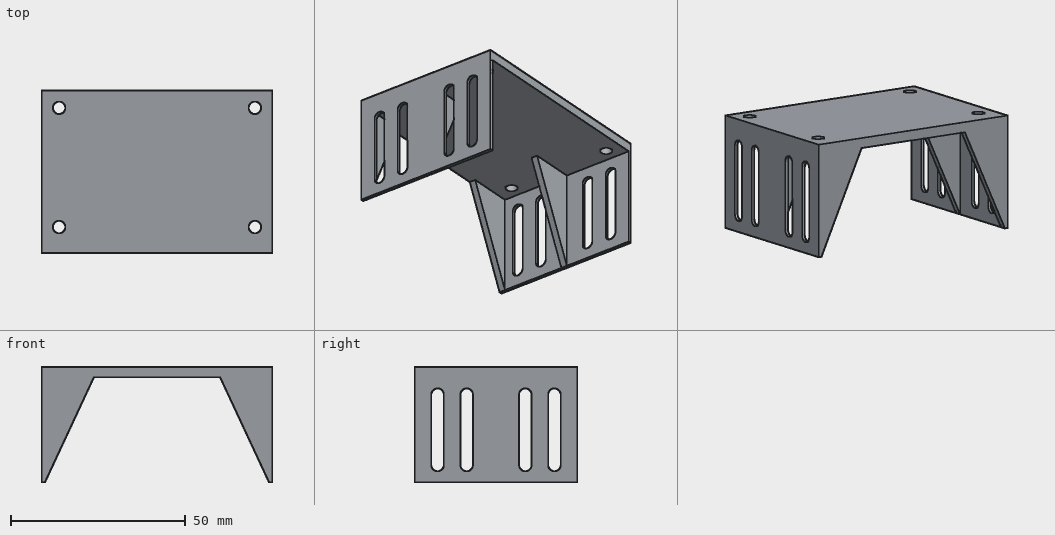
import cadquery as cq

length = 66
width = 46.5
height = 33

plate_thickness = 3.0
wall_thickness = 1.0
gusset_thickness = 2

gusset_reach = 15.0
gusset_front_faces = (-width / 2, -gusset_thickness / 2)

hole_diameter = 3.5
hole_x = length / 2 - 5.0
hole_back_y = width / 2 - 5.0
hole_front_y = -width / 2 + 7.45

slot_width = 3.5
slot_length = 23.6
slot_center_z = 15.05
slot_offsets = (8.4, 16.7)

plate_bottom = height - plate_thickness


def make_bracket():
    """Flat plate carried by two upright walls."""
    block = cq.Workplane("XY").box(length, width, height, centered=(True, True, False))
    opening = cq.Workplane("XY").box(
        length - 2 * wall_thickness, width, plate_bottom, centered=(True, True, False)
    )
    return block.cut(opening)


def make_gusset(side, front_y):
    """Sloped web joining a wall to the plate; side is -1 or +1 along X."""
    outer_x = side * length / 2
    outline = [
        (outer_x, 0),
        (outer_x - side * wall_thickness, 0),
        (outer_x - side * gusset_reach, plate_bottom),
        (outer_x, plate_bottom),
    ]
    return (
        cq.Workplane("XZ", origin=(0, front_y, 0))
        .polyline(outline)
        .close()
        .extrude(-gusset_thickness)
    )


def make_holes():
    """Four drills through the plate."""
    centers = [(x, y) for x in (-hole_x, hole_x) for y in (hole_front_y, hole_back_y)]
    return (
        cq.Workplane("XY", origin=(0, 0, plate_bottom))
        .pushPoints(centers)
        .circle(hole_diameter / 2)
        .extrude(plate_thickness)
    )


def make_slots():
    """Round-ended slots running along X through both walls."""
    centers = [(side * offset, slot_center_z) for side in (-1, 1) for offset in slot_offsets]
    return (
        cq.Workplane("YZ")
        .pushPoints(centers)
        .slot2D(slot_length, slot_width, 90)
        .extrude(length / 2, both=True)
    )


result = make_bracket().cut(make_slots())
for gusset_y in gusset_front_faces:
    for wall_side in (-1, 1):
        result = result.union(make_gusset(wall_side, gusset_y))
result = result.cut(make_holes())